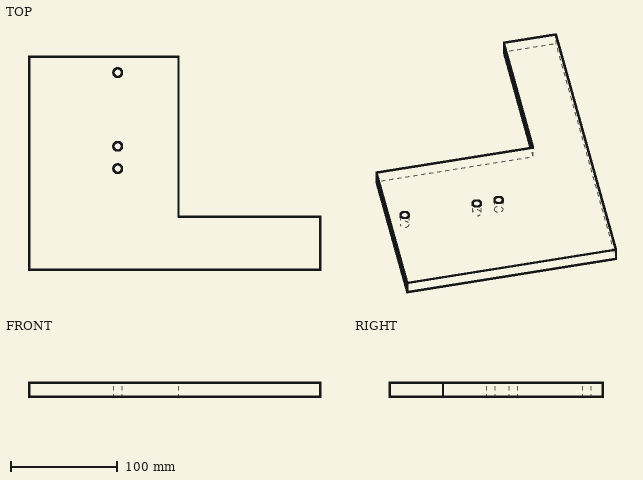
import cadquery as cq

length = 273.0
depth = 200.0
thickness = 13.5

column_width = 140.0
arm_width = 50.0

hole_diameter = 8.0
hole_row_x = 83.0
hole_distances_from_back = (15.0, 84.0, 105.0)

outline = [
    (0, 0),
    (length, 0),
    (length, arm_width),
    (column_width, arm_width),
    (column_width, depth),
    (0, depth),
]
plate = cq.Workplane("XY").polyline(outline).close().extrude(thickness)

hole_centers = [(hole_row_x, depth - distance) for distance in hole_distances_from_back]
holes = cq.Workplane("XY").pushPoints(hole_centers).circle(hole_diameter / 2).extrude(thickness)

result = plate.cut(holes)